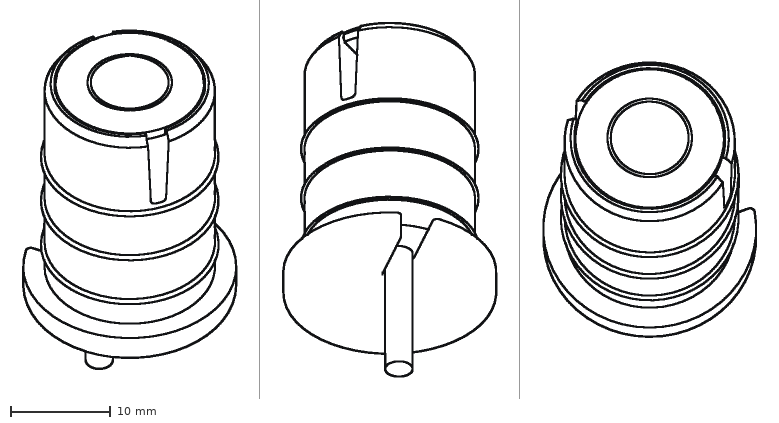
import cadquery as cq
import math

overall_height = 41.0
flange_bottom = 11.03
flange_thickness = 3.0
body_bottom = flange_bottom + flange_thickness
shoulder_height = 38.0
rim_height = 38.95

flange_diameter = 21.5
flange_radius = flange_diameter / 2
flange_lower_fillet = 0.5
flange_slot_width = 3.3
mouth_fillet = 0.5

pin_diameter = 2.8
pin_x = -3.4

body_radius = 8.6
rim_radius = 8.0
rib_count = 3
rib_spacing = 6.0
first_rib_bottom = body_bottom + rib_spacing / 2
rib_height = 0.35
rib_projection = 0.35

gap_outer_radius = 7.62
gap_floor = 38.5
ring_outer_radius = 7.5
ring_inner_radius = 4.25
ring_centre_radius = (ring_outer_radius + ring_inner_radius) / 2
ring_top = 39.95

dome_floor = 39.1
dome_base_radius = 3.95
dome_rise = overall_height - dome_floor
dome_sphere_radius = (dome_base_radius**2 + dome_rise**2) / (2 * dome_rise)

cap_bottom = shoulder_height
slot_bottom = 30.05
slot_bottom_width = 1.6
slot_widest = 2.25
slot_rim_width = 2.15
slot_fillet = 0.5
slot_turn = 45.0


def make_body():
    """Turned body with the rim, gap, ring and dome on its top."""
    half_angle = math.asin(dome_base_radius / dome_sphere_radius) / 2
    dome_midpoint = (
        dome_sphere_radius * math.sin(half_angle),
        overall_height - dome_sphere_radius * (1 - math.cos(half_angle)),
    )
    return (
        cq.Workplane("XZ")
        .moveTo(0, body_bottom)
        .lineTo(body_radius, body_bottom)
        .lineTo(body_radius, shoulder_height)
        .lineTo(rim_radius, rim_height)
        .lineTo(gap_outer_radius, rim_height)
        .lineTo(gap_outer_radius, gap_floor)
        .lineTo(ring_outer_radius, gap_floor)
        .lineTo(ring_outer_radius, rim_height)
        .threePointArc((ring_centre_radius, ring_top), (ring_inner_radius, dome_floor))
        .lineTo(dome_base_radius, dome_floor)
        .threePointArc(dome_midpoint, (0, overall_height))
        .close()
        .revolve(360, (0, 0, 0), (0, 1, 0))
    )


def make_body_slot():
    """Tapered slot with a rounded floor; above the cap bottom it stays outside the ring."""
    slot = (
        cq.Workplane("XZ")
        .moveTo(-slot_bottom_width / 2, slot_bottom)
        .lineTo(slot_bottom_width / 2, slot_bottom)
        .lineTo(slot_widest / 2, gap_floor)
        .lineTo(slot_rim_width / 2, rim_height)
        .lineTo(-slot_rim_width / 2, rim_height)
        .lineTo(-slot_widest / 2, gap_floor)
        .close()
        .extrude(body_radius + rib_projection, both=True)
        .faces("<Z")
        .edges("|Y")
        .fillet(slot_fillet)
        .rotate((0, 0, 0), (0, 0, 1), slot_turn)
    )
    cap = (
        cq.Workplane("XY")
        .workplane(offset=cap_bottom)
        .circle(ring_outer_radius)
        .extrude(rim_height - cap_bottom)
    )
    return slot.cut(cap)


def make_rib(bottom):
    """Triangular rib with a flat underside and a sloping top."""
    return (
        cq.Workplane("XZ")
        .moveTo(0, bottom)
        .lineTo(body_radius + rib_projection, bottom)
        .lineTo(body_radius, bottom + rib_height)
        .lineTo(0, bottom + rib_height)
        .close()
        .revolve(360, (0, 0, 0), (0, 1, 0))
    )


def make_flange():
    """Slotted disc with a rounded slot mouth and a rounded lower edge."""
    base = cq.Workplane("XY").workplane(offset=flange_bottom)
    disc = base.circle(flange_radius).extrude(flange_thickness)
    slot_length = flange_radius + flange_slot_width
    slot = (
        base.center(pin_x - (slot_length - flange_slot_width) / 2, 0)
        .slot2D(slot_length, flange_slot_width)
        .extrude(flange_thickness)
    )
    mouth = cq.selectors.BoxSelector(
        (-flange_radius, -flange_slot_width, 0),
        (-body_radius, flange_slot_width, overall_height),
    )
    flange = disc.cut(slot).edges("|Z").edges(mouth).fillet(mouth_fillet)
    return flange.faces("<Z").edges().fillet(flange_lower_fillet)


def make_pin():
    """Straight pin that hangs from the underside of the body."""
    return cq.Workplane("XY").center(pin_x, 0).circle(pin_diameter / 2).extrude(body_bottom)


result = make_body().cut(make_body_slot())
for index in range(rib_count):
    result = result.union(make_rib(first_rib_bottom + index * rib_spacing))
result = result.union(make_flange()).union(make_pin())